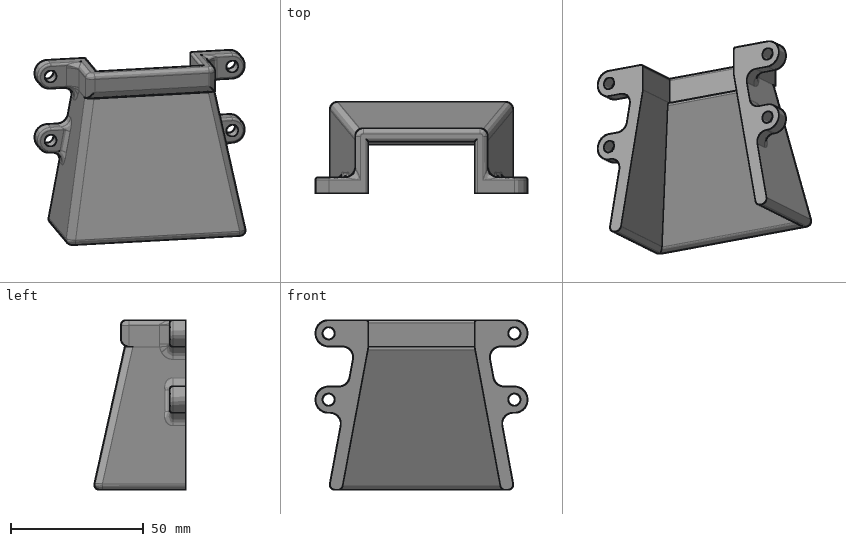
import cadquery as cq

HEIGHT = 64.0
NECK_HEIGHT = 10.0
SKIRT_HEIGHT = HEIGHT - NECK_HEIGHT
WALL = 5.0

NECK_HALF_WIDTH = 20.0
NECK_DEPTH = 19.5
SKIRT_TOP_DEPTH = 18.0
FOOT_HALF_WIDTH = 30.0
FOOT_DEPTH = 30.0

BACK_CORNER_RADIUS = 3.0
TOP_OUTER_RADIUS = 2.0
TOP_INNER_RADIUS = 1.0
LIP_RADIUS = 1.0
FOOT_RADIUS = 2.0

EAR_HOLE_X = 35.0
EAR_RADIUS = 5.0
EAR_THICKNESS = 6.0
EAR_SPACING = 25.0
UPPER_EAR_Z = HEIGHT - EAR_RADIUS
LOWER_EAR_Z = UPPER_EAR_Z - EAR_SPACING
EAR_HOLE_DIAMETER = 4.5
EAR_RIM_RADIUS = 1.0
EAR_CORNER_RADIUS = 4.0
LOWER_ROOT_RADIUS = 2.0

NECK_OUTER_HALF_WIDTH = NECK_HALF_WIDTH + WALL
NECK_OUTER_DEPTH = NECK_DEPTH + WALL
FOOT_OUTER_HALF_WIDTH = FOOT_HALF_WIDTH + WALL
FOOT_OUTER_DEPTH = FOOT_DEPTH + WALL
EAR_TIP_X = EAR_HOLE_X + EAR_RADIUS

BLEND_REACH = 2 * EAR_CORNER_RADIUS
BLEND_DEPTH = EAR_THICKNESS + 2 * EAR_CORNER_RADIUS

MARGIN = 0.05


def outer_half_width(z):
    """Half width of the outer skirt, or of its slope carried upwards, at height z."""
    flare = (FOOT_OUTER_HALF_WIDTH - NECK_OUTER_HALF_WIDTH) / SKIRT_HEIGHT
    return FOOT_OUTER_HALF_WIDTH - flare * z


def edges_within(body, low, high):
    """Edges of the body that lie wholly inside the box from low to high."""
    box_low = tuple(value - MARGIN for value in low)
    box_high = tuple(value + MARGIN for value in high)
    return body.edges(cq.selectors.BoxSelector(box_low, box_high, boundingbox=True)).vals()


def fillet_mixed(body, groups):
    """Round several groups of meeting edges, each with its own radius, in one step."""
    maker = cq.occ_impl.shapes.BRepFilletAPI_MakeFillet(body.val().wrapped)
    for radius, edges in groups:
        for edge in edges:
            maker.Add(radius, edge.wrapped)
    return cq.Workplane(cq.Shape.cast(maker.Shape())).solids()


def half_skirt(foot_half_width, foot_depth, top_half_width, top_depth):
    """Right half of a block whose side and back lean inwards towards the top."""
    front_outline = [(0, 0), (foot_half_width, 0), (top_half_width, SKIRT_HEIGHT), (0, SKIRT_HEIGHT)]
    side_outline = [(0, 0), (foot_depth, 0), (top_depth, SKIRT_HEIGHT), (0, SKIRT_HEIGHT)]
    front_shape = cq.Workplane("XZ").polyline(front_outline).close().extrude(-foot_depth)
    side_shape = cq.Workplane("YZ").polyline(side_outline).close().extrude(foot_half_width)
    return front_shape.intersect(side_shape)


def half_neck(half_width, depth):
    """Right half of the straight block above the skirt."""
    return cq.Workplane("XY", origin=(0, 0, SKIRT_HEIGHT)).box(half_width, depth, NECK_HEIGHT, centered=False)


def rounded_skirt():
    """Right half of the outer skirt, solid, with its back corner rounded."""
    top_depth = SKIRT_TOP_DEPTH + WALL
    skirt = half_skirt(FOOT_OUTER_HALF_WIDTH, FOOT_OUTER_DEPTH, NECK_OUTER_HALF_WIDTH, top_depth)
    back_corner = edges_within(
        skirt,
        (NECK_OUTER_HALF_WIDTH, top_depth, 0),
        (FOOT_OUTER_HALF_WIDTH, FOOT_OUTER_DEPTH, SKIRT_HEIGHT),
    )
    return skirt.newObject(back_corner).fillet(BACK_CORNER_RADIUS)


def rounded_neck():
    """Right half of the outer neck, solid, with its back corner and lower back edge rounded."""
    neck = half_neck(NECK_OUTER_HALF_WIDTH, NECK_OUTER_DEPTH)
    return neck.faces(">Y").edges(">X or <Z").fillet(BACK_CORNER_RADIUS)


def ear_arm(bottom, height):
    """Straight part of an ear, from inside the side wall out to the hole."""
    length = EAR_HOLE_X - NECK_HALF_WIDTH
    return cq.Workplane("XY", origin=(NECK_HALF_WIDTH, 0, bottom)).box(
        length, EAR_THICKNESS, height, centered=False
    )


def ear(z):
    """Ear with a round end, long enough to reach into the side wall."""
    end = cq.Workplane("XZ", origin=(EAR_HOLE_X, 0, z)).circle(EAR_RADIUS).extrude(-EAR_THICKNESS)
    return end.union(ear_arm(z - EAR_RADIUS, 2 * EAR_RADIUS))


def ear_rim(body, z):
    """Edges around the back of an ear, without its joint to the side wall."""
    bottom = z - EAR_RADIUS
    top = z + EAR_RADIUS
    back_edges = edges_within(
        body,
        (outer_half_width(top), EAR_THICKNESS, bottom),
        (EAR_TIP_X, EAR_THICKNESS, top),
    )
    return [edge for edge in back_edges if edge.BoundingBox().xmax > EAR_HOLE_X - MARGIN]


def neck_with_ear():
    """Neck and upper ear, rims rounded, blended along the straight side of the neck."""
    wall_below = cq.Workplane("XY", origin=(NECK_HALF_WIDTH, 0, SKIRT_HEIGHT - BLEND_REACH)).box(
        WALL, BLEND_DEPTH, BLEND_REACH, centered=False
    )
    body = rounded_neck().union(wall_below).union(ear(UPPER_EAR_Z))
    neck_top = edges_within(
        body, (0, EAR_THICKNESS, HEIGHT), (NECK_OUTER_HALF_WIDTH, NECK_OUTER_DEPTH, HEIGHT)
    )
    body = fillet_mixed(
        body, [(TOP_OUTER_RADIUS, neck_top), (EAR_RIM_RADIUS, ear_rim(body, UPPER_EAR_Z))]
    )
    joint = edges_within(
        body,
        (NECK_OUTER_HALF_WIDTH - TOP_OUTER_RADIUS, 0, SKIRT_HEIGHT),
        (NECK_OUTER_HALF_WIDTH, EAR_THICKNESS, HEIGHT - TOP_OUTER_RADIUS),
    )
    return body.newObject(joint).fillet(EAR_CORNER_RADIUS)


def skirt_blend():
    """Lower half of the upper ear blended into the sloping side of the skirt."""
    bottom = SKIRT_HEIGHT - BLEND_REACH
    outline = [
        (NECK_HALF_WIDTH, bottom),
        (outer_half_width(bottom), bottom),
        (outer_half_width(UPPER_EAR_Z), UPPER_EAR_Z),
        (NECK_HALF_WIDTH, UPPER_EAR_Z),
    ]
    wall = cq.Workplane("XZ").polyline(outline).close().extrude(-BLEND_DEPTH)
    arm = ear_arm(SKIRT_HEIGHT, EAR_RADIUS)
    arm = arm.faces(">Y").edges("<Z").fillet(EAR_RIM_RADIUS)
    body = wall.union(arm)
    joint = edges_within(
        body,
        (outer_half_width(UPPER_EAR_Z), 0, SKIRT_HEIGHT),
        (NECK_OUTER_HALF_WIDTH, EAR_THICKNESS, UPPER_EAR_Z),
    )
    return body.newObject(joint).fillet(EAR_CORNER_RADIUS)


def add_lower_ear(body):
    """Join the lower ear, round its rim and blend it into the side wall."""
    body = body.union(ear(LOWER_EAR_Z))
    bottom = LOWER_EAR_Z - EAR_RADIUS
    top = LOWER_EAR_Z + EAR_RADIUS
    bottom_x = outer_half_width(bottom)
    top_x = outer_half_width(top)
    root = edges_within(body, (top_x, EAR_THICKNESS, bottom), (bottom_x, EAR_THICKNESS, top))
    lower_corner = edges_within(body, (bottom_x, 0, bottom), (bottom_x, EAR_THICKNESS, bottom))
    upper_corner = edges_within(body, (top_x, 0, top), (top_x, EAR_THICKNESS, top))
    return fillet_mixed(
        body,
        [
            (EAR_RIM_RADIUS, ear_rim(body, LOWER_EAR_Z)),
            (LOWER_ROOT_RADIUS, root),
            (EAR_CORNER_RADIUS, lower_corner + upper_corner),
        ],
    )


def hollow(body):
    """Cut the cavity and round its top rim, its lip and both edges of the foot."""
    body = body.cut(half_skirt(FOOT_HALF_WIDTH, FOOT_DEPTH, NECK_HALF_WIDTH, SKIRT_TOP_DEPTH))
    body = body.cut(half_neck(NECK_HALF_WIDTH, NECK_DEPTH))
    top_rim = edges_within(body, (0, 0, HEIGHT), (NECK_HALF_WIDTH, NECK_DEPTH, HEIGHT))
    body = body.newObject(top_rim).fillet(TOP_INNER_RADIUS)
    lip = edges_within(
        body, (0, SKIRT_TOP_DEPTH, SKIRT_HEIGHT), (NECK_HALF_WIDTH, SKIRT_TOP_DEPTH, SKIRT_HEIGHT)
    )
    body = body.newObject(lip).fillet(LIP_RADIUS)
    foot = body.faces("<Z").edges("not (<X or <Y)")
    return foot.fillet(FOOT_RADIUS)


def drill_ears(body):
    """Drill the screw hole through each ear."""
    for z in (UPPER_EAR_Z, LOWER_EAR_Z):
        hole = (
            cq.Workplane("XZ", origin=(EAR_HOLE_X, 0, z))
            .circle(EAR_HOLE_DIAMETER / 2)
            .extrude(-EAR_THICKNESS)
        )
        body = body.cut(hole)
    return body


skirt = add_lower_ear(rounded_skirt())
outer = skirt.union(neck_with_ear()).union(skirt_blend())
right_half = drill_ears(hollow(outer))
result = right_half.union(right_half.mirror("YZ")).solids()